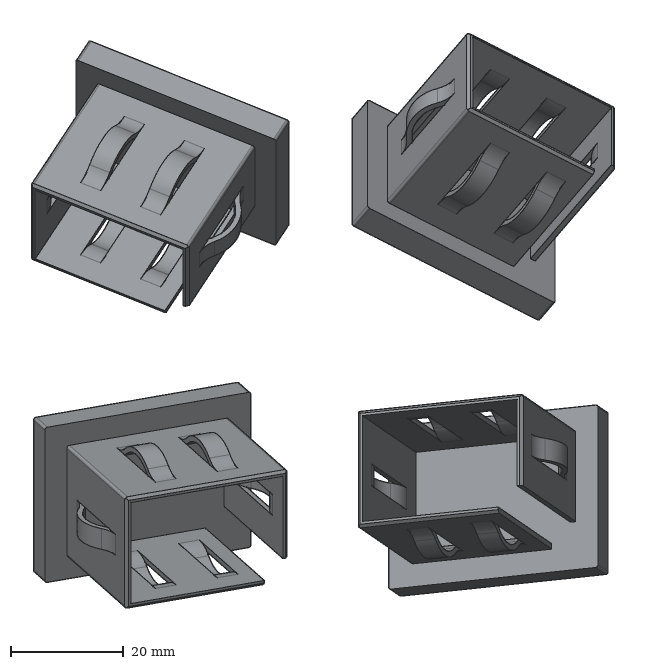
import cadquery as cq
import math

plate_width = 40
plate_height = 30
plate_thickness = 5.0
plate_corner_radius = 0.5

sleeve_width = 31.5
sleeve_height = 21.5
sleeve_length = 26
wall = 1.0
sleeve_corner_radius = 0.5
sleeve_end_chamfer = 0.5
corner_opening = 4.6

tab_width = 4
tab_length = 17.0
tab_rise = 3.0
crest_half_length = 5.0
tab_spacing = 12
right_tab_height = 2.4

tab_middle_y = -sleeve_length / 2
tab_half_length = tab_length / 2

sweep = 2 * math.atan(tab_rise / tab_half_length)
crest_radius = crest_half_length / math.sin(sweep)
foot_radius = (tab_half_length - crest_half_length) / math.sin(sweep)


def make_plate():
    plate = cq.Workplane("XY").box(plate_width, plate_thickness, plate_height)
    return plate.edges("|Y").fillet(plate_corner_radius).translate((0, plate_thickness / 2, 0))


def make_sleeve():
    outer = cq.Workplane("XY").box(sleeve_width, sleeve_length, sleeve_height)
    outer = outer.faces("<Y").chamfer(sleeve_end_chamfer).edges("|Y").fillet(sleeve_corner_radius)
    bore = cq.Workplane("XY").box(
        sleeve_width - 2 * wall, sleeve_length, sleeve_height - 2 * wall
    )
    opening = (
        cq.Workplane("XY")
        .box(corner_opening, sleeve_length, corner_opening)
        .translate(((sleeve_width - corner_opening) / 2, 0, (corner_opening - sleeve_height) / 2))
    )
    return outer.cut(bore).cut(opening).translate((0, tab_middle_y, 0))


def make_slot():
    """Wall opening under a tab, with the wall's outer surface at Z = 0."""
    return cq.Workplane("XY").box(tab_width, tab_length, wall).translate((0, 0, -wall / 2))


def make_tab():
    """Bowed strip one wall thick, with its feet flush with the wall at Z = 0."""
    crest_center = tab_rise - crest_radius

    def on_crest(radius, angle):
        return (radius * math.sin(angle), crest_center + radius * math.cos(angle))

    def on_foot(radius, angle):
        return (tab_half_length - radius * math.sin(angle), foot_radius - radius * math.cos(angle))

    def mirrored(point):
        return (-point[0], point[1])

    inner_crest = crest_radius - wall
    inner_foot = foot_radius + wall
    outer_turn = on_crest(crest_radius, sweep)
    inner_turn = on_crest(inner_crest, sweep)
    outer_foot_middle = on_foot(foot_radius, sweep / 2)
    inner_foot_middle = on_foot(inner_foot, sweep / 2)

    return (
        cq.Workplane("YZ")
        .moveTo(-tab_half_length, 0)
        .threePointArc(mirrored(outer_foot_middle), mirrored(outer_turn))
        .threePointArc((0, tab_rise), outer_turn)
        .threePointArc(outer_foot_middle, (tab_half_length, 0))
        .lineTo(tab_half_length, -wall)
        .threePointArc(inner_foot_middle, inner_turn)
        .threePointArc((0, tab_rise - wall), mirrored(inner_turn))
        .threePointArc(mirrored(inner_foot_middle), (-tab_half_length, -wall))
        .close()
        .extrude(tab_width / 2, both=True)
    )


def place_on_wall(shape, turn, wall_distance, offset_x, offset_z):
    """Turn a shape about Y and set its Z = 0 level on the wall facing that way."""
    x = wall_distance * math.sin(math.radians(turn)) + offset_x
    z = wall_distance * math.cos(math.radians(turn)) + offset_z
    return shape.rotate((0, 0, 0), (0, 1, 0), turn).translate((x, tab_middle_y, z))


tab_places = [
    (90, sleeve_width / 2, 0, right_tab_height),
    (-90, sleeve_width / 2, 0, 0),
]
for tab_x in (-tab_spacing / 2, tab_spacing / 2):
    tab_places.append((0, sleeve_height / 2, tab_x, 0))
    tab_places.append((180, sleeve_height / 2, tab_x, 0))

result = make_plate().union(make_sleeve())
for place in tab_places:
    result = result.cut(place_on_wall(make_slot(), *place))
    result = result.union(place_on_wall(make_tab(), *place))